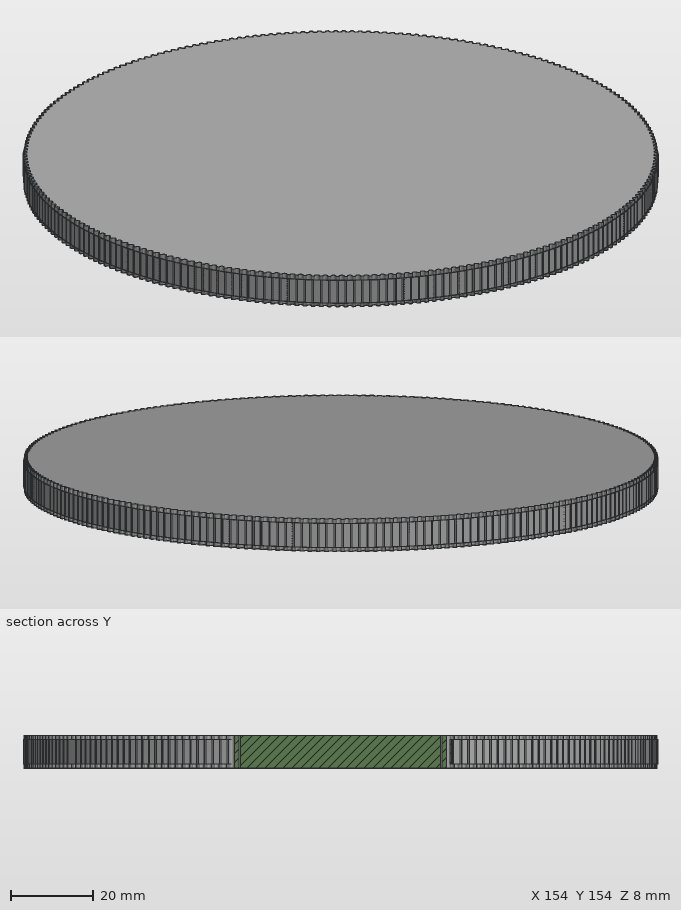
import cadquery as cq
import math

outer_diameter = 154.0
thickness = 8.0

tooth_count = 242
band_thickness = 0.25
groove_depth = 0.75
groove_radius = 0.59
tip_radius = 0.23

band_inset = 1.0

outer_radius = outer_diameter / 2
tooth_radius = outer_radius - band_thickness
floor_radius = tooth_radius - groove_depth
band_height = thickness - 2 * band_inset
pitch_angle = 2 * math.pi / tooth_count

groove_center_radius = floor_radius + groove_radius
tip_center_radius = tooth_radius - tip_radius
center_distance = groove_radius + tip_radius
mouth_half_angle = math.acos(
    (groove_center_radius**2 + tip_center_radius**2 - center_distance**2)
    / (2 * groove_center_radius * tip_center_radius)
)


def polar(radius, angle):
    return cq.Vector(radius * math.cos(angle), radius * math.sin(angle))


def groove_edges(middle):
    """Tip arc, floor arc and tip arc of the groove centred on one angle."""
    groove_center = polar(groove_center_radius, middle)
    tips = []
    for side in (-1, 1):
        mouth_angle = middle + side * mouth_half_angle
        tip_center = polar(tip_center_radius, mouth_angle)
        to_mouth = polar(tip_radius, mouth_angle)
        to_groove = (groove_center - tip_center).normalized() * tip_radius
        halfway = (to_mouth + to_groove).normalized() * tip_radius
        tips.append([tip_center + step for step in (to_mouth, halfway, to_groove)])
    first_tip, last_tip = tips
    floor = [first_tip[-1], polar(floor_radius, middle), last_tip[-1]]
    return [cq.Edge.makeThreePointArc(*points) for points in (first_tip, floor, last_tip[::-1])]


def land_edge(middle):
    """Outer arc of the tooth that follows the groove centred on one angle."""
    start = polar(tooth_radius, middle + mouth_half_angle)
    crest = polar(tooth_radius, middle + pitch_angle / 2)
    end = polar(tooth_radius, middle + pitch_angle - mouth_half_angle)
    return cq.Edge.makeThreePointArc(start, crest, end)


def toothed_wheel():
    """Solid wheel with full-height grooves, one of them centred on +X."""
    edges = []
    for index in range(tooth_count):
        middle = index * pitch_angle
        edges += groove_edges(middle)
        edges.append(land_edge(middle))
    outline = cq.Wire.assembleEdges(edges)
    return cq.Workplane("XY").add(outline).toPending().extrude(thickness)


def tooth_band():
    """Smooth ring seated on the tooth lands, closing the grooves from outside."""
    ring = cq.Workplane("XY", origin=(0, 0, band_inset)).circle(outer_radius).circle(tooth_radius)
    return ring.extrude(band_height)


result = toothed_wheel().union(tooth_band())